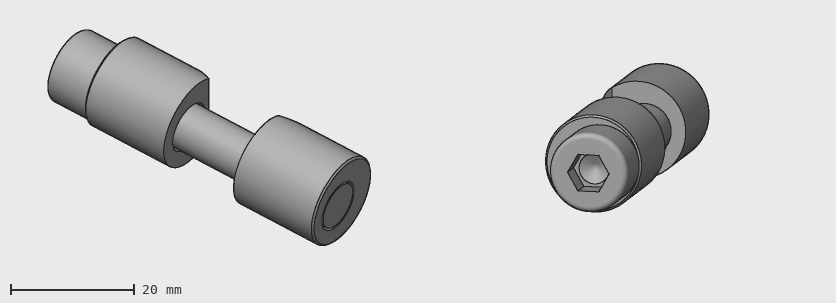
import cadquery as cq
import math

total_length = 54.0
head_length = 8.0
barrel_length = 16.0
left_end = -total_length / 2
head_seat = left_end + head_length
right_end = total_length / 2

barrel_diameter = 16.0
barrel_radius = barrel_diameter / 2
barrel_chamfer = 0.3
bevel_depth = 3.7
bevel_angle = 30.0
bevel_length = bevel_depth / math.tan(math.radians(bevel_angle))

screw_offset_y = -1.2
head_diameter = 12.95
head_fillet = 0.85
shank_diameter = 8.0
clearance_diameter = 8.75
socket_flats = 6.0
socket_corners = socket_flats / math.cos(math.radians(30))
socket_depth = 4.0
cone_diameter = 5.0
cone_angle = 120.0
cone_depth = cone_diameter / 2 / math.tan(math.radians(cone_angle / 2))


def section_plane(x, y=0):
    """Plane across the X axis, with its normal along +X."""
    return cq.Workplane("YZ", origin=(x, y, 0))


def make_barrel(outer_x, inward):
    """Barrel from outer_x; inward is +1 or -1, the X direction to its bevelled inner face."""
    inner_x = outer_x + inward * barrel_length
    outer_face = "<X" if inward > 0 else ">X"
    barrel = section_plane(outer_x).circle(barrel_radius).extrude(inward * barrel_length)
    barrel = barrel.faces(outer_face).chamfer(barrel_chamfer)

    bevel = (
        cq.Workplane("XY")
        .moveTo(inner_x, barrel_radius - bevel_depth)
        .lineTo(inner_x, barrel_radius)
        .lineTo(inner_x - inward * bevel_length, barrel_radius)
        .close()
        .extrude(barrel_radius, both=True)
    )
    bore = (
        section_plane(outer_x, screw_offset_y)
        .circle(clearance_diameter / 2)
        .extrude(inward * barrel_length)
    )
    return barrel.cut(bevel).cut(bore)


def make_socket():
    """Hexagonal key socket with a conical bottom."""
    hexagon = (
        section_plane(left_end, screw_offset_y)
        .polygon(6, socket_corners)
        .extrude(socket_depth)
    )
    cone = cq.Solid.makeCone(
        cone_diameter / 2,
        0,
        cone_depth,
        pnt=cq.Vector(left_end + socket_depth, screw_offset_y, 0),
        dir=cq.Vector(1, 0, 0),
    )
    return hexagon.union(cq.Workplane(obj=cone))


def make_screw():
    """Socket head screw whose shank passes through both barrels and ends flush with the right one."""
    head = section_plane(left_end, screw_offset_y).circle(head_diameter / 2).extrude(head_length)
    head = head.faces("<X").edges().fillet(head_fillet)
    shank = (
        section_plane(head_seat, screw_offset_y)
        .circle(shank_diameter / 2)
        .extrude(right_end - head_seat)
    )
    return head.union(shank).cut(make_socket())


screw = make_screw()
head_barrel = make_barrel(head_seat, 1)
end_barrel = make_barrel(right_end, -1)

result = cq.Compound.makeCompound([screw.val(), head_barrel.val(), end_barrel.val()])